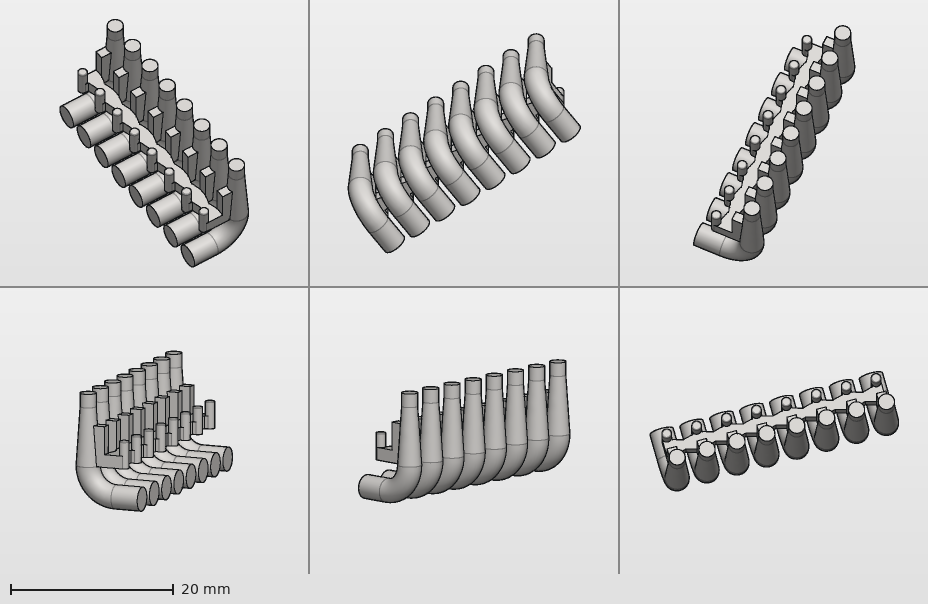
import cadquery as cq

PIN_COUNT = 8
PITCH = 3.81

TUBE_DIAMETER = 3.0
BEND_RADIUS = 3.7
LEG_LENGTH = 3.5
TIP_DIAMETER = 2.0
TIP_LENGTH = 1.7
TAPER_LENGTH = 7.35

RIB_WIDTH = 1.2
BAR_CENTER_Y = -3.41
BAR_WIDE_DEPTH = 1.94
BAR_NECK_DEPTH = 1.22
BAR_THICKNESS = 1.6
RIB_HEIGHT = 5.1
PEG_Y = -4.83
PEG_HEIGHT = 3.4
PEG_DIAMETER = RIB_WIDTH
PEG_TOP_FILLET = 0.1

LEG_AXIS_Z = TUBE_DIAMETER / 2
BAR_BOTTOM = LEG_AXIS_Z + BEND_RADIUS
BAR_BACK_Y = BAR_CENTER_Y + BAR_WIDE_DEPTH / 2
PIN_X = [(i - (PIN_COUNT - 1) / 2) * PITCH for i in range(PIN_COUNT)]


def bent_tube():
    """Solid round pin at X = 0, made of the leg, bend, taper and tip."""
    leg = (
        cq.Workplane("XZ", origin=(0, -BEND_RADIUS, LEG_AXIS_Z))
        .circle(TUBE_DIAMETER / 2)
        .extrude(LEG_LENGTH)
    )
    bend = (
        cq.Workplane("XY", origin=(0, 0, BAR_BOTTOM))
        .circle(TUBE_DIAMETER / 2)
        .revolve(90, (0, -BEND_RADIUS, 0), (-1, -BEND_RADIUS, 0))
    )
    taper = (
        cq.Workplane("XY", origin=(0, 0, BAR_BOTTOM))
        .circle(TUBE_DIAMETER / 2)
        .workplane(offset=TAPER_LENGTH)
        .circle(TIP_DIAMETER / 2)
        .loft()
    )
    tip = (
        cq.Workplane("XY", origin=(0, 0, BAR_BOTTOM + TAPER_LENGTH))
        .circle(TIP_DIAMETER / 2)
        .extrude(TIP_LENGTH)
    )
    return leg.union(bend).union(taper).union(tip)


def box_along_y(back_y, front_y, height):
    """Rib-wide block at X = 0 standing on the bar's underside."""
    return (
        cq.Workplane("XY", origin=(0, (back_y + front_y) / 2, BAR_BOTTOM))
        .rect(RIB_WIDTH, back_y - front_y)
        .extrude(height)
    )


def rib():
    """Upright rib joining the taper to the back of the bar, starting inside the tube."""
    return box_along_y(0, BAR_BACK_Y, RIB_HEIGHT)


def peg():
    """Tab from the bar to a round peg with a rounded top edge."""
    tab = box_along_y(BAR_CENTER_Y, PEG_Y, BAR_THICKNESS)
    post = (
        cq.Workplane("XY", origin=(0, PEG_Y, BAR_BOTTOM))
        .circle(PEG_DIAMETER / 2)
        .extrude(PEG_HEIGHT)
        .faces(">Z")
        .fillet(PEG_TOP_FILLET)
    )
    return tab.union(post)


def carrier_bar():
    """Bar that is wide at every pin and narrows to a neck halfway between pins."""
    wide = BAR_WIDE_DEPTH / 2
    neck = BAR_NECK_DEPTH / 2
    back_edge = []
    for x in PIN_X:
        back_edge += [(x - RIB_WIDTH / 2, wide), (x + RIB_WIDTH / 2, wide), (x + PITCH / 2, neck)]
    back_edge.pop()
    front_edge = [(x, -y) for x, y in reversed(back_edge)]
    return (
        cq.Workplane("XY", origin=(0, BAR_CENTER_Y, BAR_BOTTOM))
        .polyline(back_edge + front_edge)
        .close()
        .extrude(BAR_THICKNESS)
    )


pin = bent_tube().union(rib()).union(peg())
result = carrier_bar()
for x in PIN_X:
    result = result.union(pin.translate((x, 0, 0)))